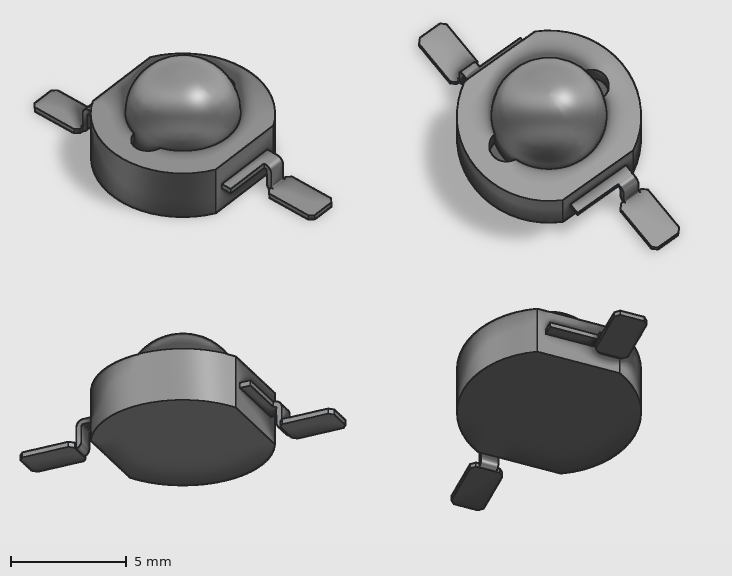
import cadquery as cq

housing_diameter = 7.97
housing_height = 2.5
flat_distance = 3.5

lens_diameter = 5.0
lens_radius = lens_diameter / 2
total_height = 5.0
dome_tip_radius = 0.049
dome_radius = lens_radius - dome_tip_radius

recess_depth = 1.0
recess_floor = housing_height - recess_depth
notch_radius = 0.75
notch_distance = 2.31

lead_reach = 7.02
lead_thickness = 0.25
lead_top = 1.4
inner_bend_radius = 0.1
outer_bend_radius = inner_bend_radius + lead_thickness
riser_distance = 4.4
strip_width = 0.8
strip_offset = 1.11
bar_width = 0.5
bar_half_length = strip_offset + strip_width / 2
pad_width = 1.5
pad_length = lead_reach - riser_distance
pad_corner_chamfer = 0.2


def make_housing():
    block = cq.Workplane("XY").circle(housing_diameter / 2).extrude(housing_height)
    between_flats = cq.Workplane("XY").box(
        2 * flat_distance, housing_diameter, housing_height, centered=(True, True, False)
    )
    recess = cq.Workplane("XY", origin=(0, 0, recess_floor)).circle(lens_radius).extrude(recess_depth)
    notches = (
        cq.Workplane("XY", origin=(0, 0, recess_floor))
        .pushPoints([(0, -notch_distance), (0, notch_distance)])
        .circle(notch_radius)
        .extrude(recess_depth)
    )
    return block.intersect(between_flats).cut(recess).cut(notches)


def make_lens():
    cylinder = (
        cq.Workplane("XY", origin=(0, 0, recess_floor))
        .circle(lens_radius)
        .extrude(total_height - recess_floor)
    )
    return cylinder.faces(">Z").edges().fillet(dome_radius)


def make_bent_strip():
    """Z-shaped strip from the -X flat out and down to the pad."""
    riser_outside = -riser_distance
    riser_inside = riser_outside + lead_thickness
    upper_bend_x = riser_outside + outer_bend_radius
    upper_bend_z = lead_top - outer_bend_radius
    lower_bend_x = riser_inside - outer_bend_radius
    lower_bend_z = outer_bend_radius
    profile = (
        cq.Workplane("XZ", origin=(0, -strip_offset, 0))
        .moveTo(-flat_distance, lead_top)
        .lineTo(upper_bend_x, lead_top)
        .radiusArc((riser_outside, upper_bend_z), -outer_bend_radius)
        .lineTo(riser_outside, lower_bend_z)
        .radiusArc((lower_bend_x, lead_thickness), inner_bend_radius)
        .lineTo(lower_bend_x, 0)
        .radiusArc((riser_inside, lower_bend_z), -outer_bend_radius)
        .lineTo(riser_inside, upper_bend_z)
        .radiusArc((upper_bend_x, lead_top - lead_thickness), inner_bend_radius)
        .lineTo(-flat_distance, lead_top - lead_thickness)
        .close()
    )
    return profile.extrude(strip_width / 2, both=True)


def make_pad():
    pad = cq.Workplane("XY", origin=(-lead_reach, -strip_offset, 0)).box(
        pad_length, pad_width, lead_thickness, centered=(False, True, False)
    )
    return pad.edges("|Z").chamfer(pad_corner_chamfer)


def make_lead(angle):
    """Lead of the -X side, turned about the Z axis by the angle in degrees."""
    bar = cq.Workplane("XY", origin=(-flat_distance - bar_width, 0, lead_top - lead_thickness)).box(
        bar_width, 2 * bar_half_length, lead_thickness, centered=(False, True, False)
    )
    lead = make_bent_strip().union(bar).union(make_pad())
    return lead.rotate((0, 0, 0), (0, 0, 1), angle)


housing = make_housing()
lens = make_lens()
leads = [make_lead(angle) for angle in (0, 180)]

result = cq.Compound.makeCompound([housing.val(), lens.val(), *[lead.val() for lead in leads]])